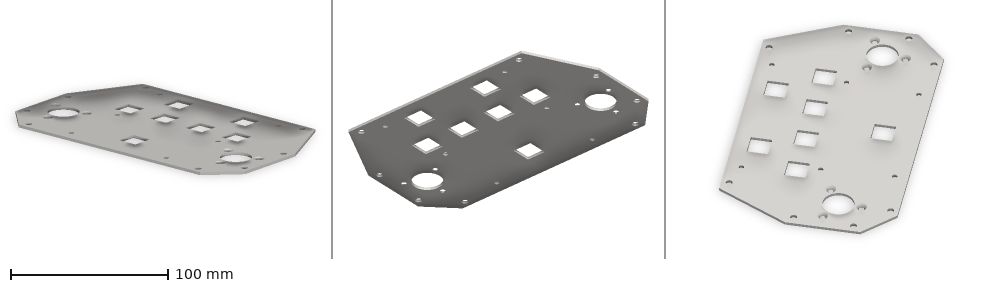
import cadquery as cq

LENGTH = 193.0
WIDTH = 116.4
THICKNESS = 2.0
REAR_EDGE_HALF = 72.5
FRONT_EDGE_HALF = 76.5
SIDE_REAR_Y = 10.8
SIDE_FRONT_Y = -38.0

SWITCH_SIDE = 13.9
SWITCH_ROW_PITCH = 30.1
SWITCH_ROW_Y = 13.1
SWITCH_REAR_X = 27.6
SWITCH_REAR_Y = 41.0
SWITCH_FRONT_Y = -34.0

OPENING_DIAMETER = 20.5
OPENING_X = 72.5
OPENING_Y = -19.1
SCREW_CIRCLE_RADIUS = 15.0
SCREW_COUNT = 3
SCREW_DIAMETER = 3.5
COUNTERSINK_DIAMETER = 7.0
COUNTERSINK_ANGLE = 90

EDGE_HOLE_DIAMETER = 4.5
SMALL_HOLE_DIAMETER = 3.5
FRONT_LEFT_HOLE_X = -72.5
FRONT_RIGHT_HOLE_X = 70.0
FRONT_HOLE_Y = -53.0


def mirrored(points):
    """Return the points together with their mirror images across X = 0."""
    return points + [(-x, y) for x, y in points]


def plate():
    right_side = [
        (FRONT_EDGE_HALF, -WIDTH / 2),
        (LENGTH / 2, SIDE_FRONT_Y),
        (LENGTH / 2, SIDE_REAR_Y),
        (REAR_EDGE_HALF, WIDTH / 2),
    ]
    left_side = [(-x, y) for x, y in reversed(right_side)]
    outline = cq.Workplane("XY").polyline(right_side + left_side).close()
    return outline.extrude(THICKNESS).translate((0, 0, -THICKNESS / 2))


def top_face(body):
    return body.faces(">Z").workplane(origin=(0, 0, 0))


def cut_switches(body):
    row_half_pitch = SWITCH_ROW_PITCH / 2
    centres = mirrored([
        (row_half_pitch, SWITCH_ROW_Y),
        (row_half_pitch + SWITCH_ROW_PITCH, SWITCH_ROW_Y),
        (SWITCH_REAR_X, SWITCH_REAR_Y),
    ])
    centres.append((0, SWITCH_FRONT_Y))
    return top_face(body).pushPoints(centres).rect(SWITCH_SIDE, SWITCH_SIDE).cutThruAll()


def cut_opening(body, x):
    body = top_face(body).center(x, OPENING_Y).hole(OPENING_DIAMETER)
    screws = top_face(body).center(x, OPENING_Y).polarArray(SCREW_CIRCLE_RADIUS, -90, 360, SCREW_COUNT)
    return screws.cskHole(SCREW_DIAMETER, COUNTERSINK_DIAMETER, COUNTERSINK_ANGLE)


def drill_edge_holes(body):
    centres = mirrored([(66.0, 53.0), (90.7, 6.4), (91.5, -32.6)])
    centres += [(FRONT_LEFT_HOLE_X, FRONT_HOLE_Y), (FRONT_RIGHT_HOLE_X, FRONT_HOLE_Y)]
    return top_face(body).pushPoints(centres).hole(EDGE_HOLE_DIAMETER)


def drill_small_holes(body):
    centres = mirrored([(50.0, 48.2), (42.5, -1.7), (40.0, -49.2)])
    return top_face(body).pushPoints(centres).hole(SMALL_HOLE_DIAMETER)


result = cut_switches(plate())
for side in (-1, 1):
    result = cut_opening(result, side * OPENING_X)
result = drill_edge_holes(result)
result = drill_small_holes(result)